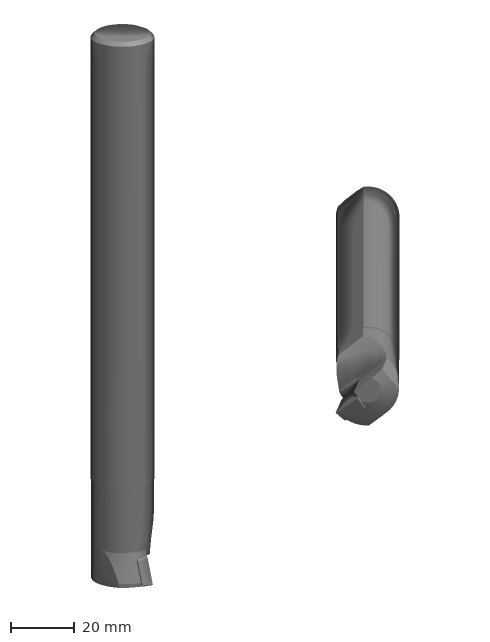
import cadquery as cq
import math


functional_length = 180.0
head_top_z = 32.0
bar_radius = 10.0
clamping_flat_y = 8.5
end_chamfer = 1.2

insert_side = 9.525
insert_thickness = 3.97
nose_radius = 0.4
clearance_angle = 7.0
cutting_tip_x = 13.0
lead_angle = 15.0
lead_sine = math.sin(math.radians(lead_angle))
lead_cosine = math.cos(math.radians(lead_angle))
lead_tangent = math.tan(math.radians(lead_angle))

nose_center_x = cutting_tip_x - nose_radius
nose_spacing = insert_side - 2 * nose_radius
half_diagonal_x = nose_spacing * (lead_cosine + lead_sine) / 2
half_diagonal_z = nose_spacing * (lead_cosine - lead_sine) / 2
insert_center_x = nose_center_x - half_diagonal_x
insert_center_z = half_diagonal_z
low_nose_x = nose_center_x - nose_spacing * lead_cosine
lowest_z = -nose_spacing * lead_sine - nose_radius

head_radius = 9.85
end_gap = 0.4
head_end_z = lowest_z + end_gap
end_disc_radius = low_nose_x
flute_floor_y = 2.3
flute_radius = 25.0
flute_runout_z = 6.8
support_radius = 12.4
support_top_z = 10.7
relief_start_z = 6.8
cut_margin = 5.0


def make_bar_length(radius, bottom_z, top_z):
    """Round bar with the clamping flat on its +Y side."""
    bar = cq.Workplane("XY").workplane(offset=bottom_z).circle(radius).extrude(top_z - bottom_z)
    flat_cut = (
        cq.Workplane("XY")
        .workplane(offset=bottom_z)
        .center(0, clamping_flat_y + radius / 2)
        .rect(2 * radius, radius)
        .extrude(top_z - bottom_z)
    )
    return bar.cut(flat_cut)


def make_shank_envelope():
    """Turned envelope that bevels the top end of the shank."""
    return (
        cq.Workplane("XZ")
        .moveTo(0, head_top_z)
        .lineTo(bar_radius, head_top_z)
        .lineTo(bar_radius, functional_length - end_chamfer)
        .lineTo(bar_radius - end_chamfer, functional_length)
        .lineTo(0, functional_length)
        .close()
        .revolve(360, (0, 0, 0), (0, 1, 0))
    )


def make_insert_support():
    """Quarter of a cone and cylinder that widens the head below the insert."""
    cone_end_z = support_top_z - (support_radius - head_radius) / lead_tangent
    turned = (
        cq.Workplane("XZ")
        .moveTo(0, head_end_z)
        .lineTo(support_radius, head_end_z)
        .lineTo(support_radius, cone_end_z)
        .lineTo(head_radius, support_top_z)
        .lineTo(0, support_top_z)
        .close()
        .revolve(360, (0, 0, 0), (0, 1, 0))
    )
    quarter = (
        cq.Workplane("XY")
        .workplane(offset=head_end_z)
        .rect(support_radius, -head_radius, centered=False)
        .extrude(support_top_z - head_end_z)
    )
    return turned.intersect(quarter)


def make_flute_cut():
    """Chip flute on the +Y side: a flat floor that runs out along an arc."""
    runout_depth = clamping_flat_y + cut_margin - flute_floor_y
    runout_length = math.sqrt(flute_radius**2 - (flute_radius - runout_depth) ** 2)
    halfway_angle = math.acos(1 - runout_depth / flute_radius) / 2
    outer_y = flute_floor_y + runout_depth
    return (
        cq.Workplane("YZ")
        .moveTo(flute_floor_y, head_end_z - cut_margin)
        .lineTo(flute_floor_y, flute_runout_z)
        .threePointArc(
            (
                flute_floor_y + flute_radius * (1 - math.cos(halfway_angle)),
                flute_runout_z + flute_radius * math.sin(halfway_angle),
            ),
            (outer_y, flute_runout_z + runout_length),
        )
        .lineTo(outer_y, head_end_z - cut_margin)
        .close()
        .extrude(cutting_tip_x, both=True)
    )


def make_relief_cut():
    """Wedge that slopes the -X side of the head inward toward its end."""
    wedge_bottom_z = head_end_z - cut_margin
    inner_x = -head_radius + (relief_start_z - wedge_bottom_z) * lead_tangent
    return (
        cq.Workplane("XZ")
        .moveTo(-head_radius, relief_start_z)
        .lineTo(inner_x, wedge_bottom_z)
        .lineTo(-head_radius, wedge_bottom_z)
        .close()
        .extrude(head_radius, both=True)
    )


def make_end_cone_cut():
    """Turned cut that leaves a flat disc and a cone under the head."""
    rim_z = head_end_z + (cutting_tip_x - end_disc_radius) * lead_tangent
    return (
        cq.Workplane("XZ")
        .moveTo(end_disc_radius, head_end_z)
        .lineTo(cutting_tip_x, rim_z)
        .lineTo(cutting_tip_x, head_end_z)
        .close()
        .revolve(360, (0, 0, 0), (0, 1, 0))
    )


def make_insert():
    """Square insert, rake face at Y = 0, with rounded noses and sides that lean in below it."""
    rake_plane = cq.Workplane("XZ", origin=(insert_center_x, 0, insert_center_z))
    block = (
        rake_plane.transformed(rotate=(0, 0, lead_angle))
        .rect(insert_side, insert_side)
        .extrude(insert_thickness, taper=clearance_angle)
    )
    return block.edges("not #Y").fillet(nose_radius)


def make_pocket_cut(seated_insert):
    """Seat of the insert, continued straight from its rake face out to +Y."""
    opening = seated_insert.faces(">Y").wires().toPending().workplane().extrude(head_radius, combine=False)
    return seated_insert.union(opening)


def make_holder(seated_insert):
    """Shank and head in one piece, with a pocket for the insert."""
    shank = make_bar_length(bar_radius, head_top_z, functional_length).intersect(make_shank_envelope())
    head = make_bar_length(head_radius, head_end_z, head_top_z).union(make_insert_support())
    head = head.cut(make_flute_cut()).cut(make_relief_cut()).cut(make_end_cone_cut())
    head = head.cut(make_pocket_cut(seated_insert))
    return shank.union(head)


insert = make_insert()
holder = make_holder(insert)
result = cq.Compound.makeCompound([*holder.solids().vals(), *insert.solids().vals()])